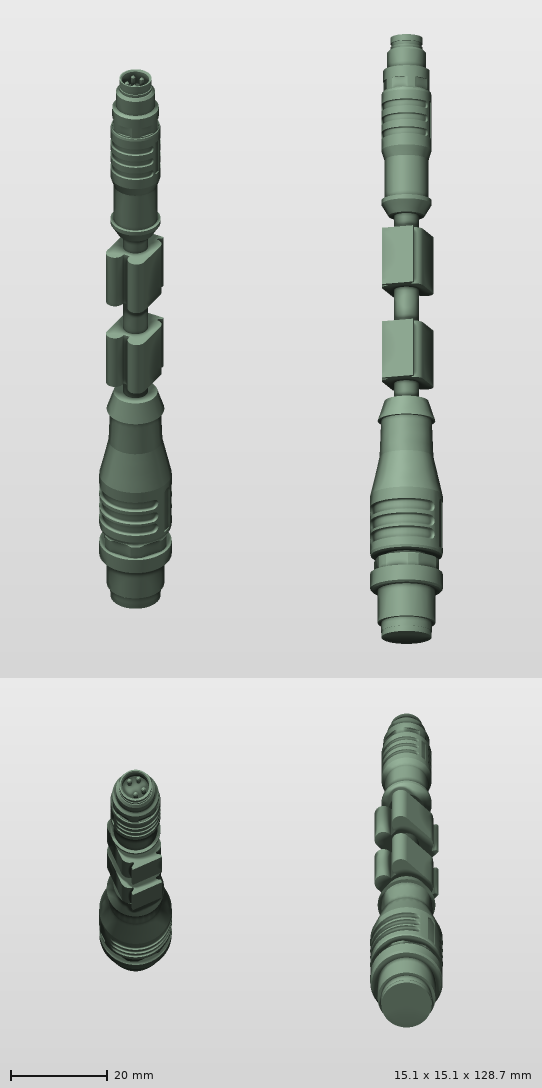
import cadquery as cq
import math

length = 128.7
max_radius = 7.53
cable_radius = 2.6
reach = 2 * max_radius

tip_radius = 3.3
bore_radius = 2.8
bore_mouth_chamfer = 0.3
bore_depth = 3.2
pin_radius = 0.45
pin_height = 2.6
pin_chamfer = 0.3
pin_places = [(-1.3, 1.3), (-1.3, -1.3), (0.6, 1.5), (0.6, -1.5)]
tip_groove_top = 127.4
tip_groove_bottom = 126.6
tip_groove_depth = 0.19
neck_radius = 4.05
neck_top = 126.0
neck_chamfer = 0.5
collar_radius = 4.83
collar_top = 121.6
collar_rise = 0.4
plug_body_radius = 5.21
plug_body_top = 116.9
plug_body_chamfer = 0.1
plug_body_chamfer_height = 0.5
plug_taper_top = 104.5
plug_stem_radius = 4.57
plug_stem_top = 102.5
plug_flange_top = 93.8
plug_flange_bottom = 92.9
plug_end_radius = 3.7
plug_end = 90.5

flat_count = 6
flat_distance = 4.5
flat_bottom = 117.1
flat_height = 2.2

boot_top = 50.7
boot_top_radius = 4.57
boot_lip_radius = 5.98
boot_lip = 46.5
boot_neck_radius = 5.3
flare_top = 38.7
flare_radius = 5.6
flare_bottom = 30.4
boot_bottom = 17.5
boot_edge_chamfer = 0.1
boot_edge_height = 0.5
shank_radius = 4.57
hex_sides = 6
hex_top = 16.6
hex_across_flats = 12.7
hex_corner_radius = 6.8
hex_chamfer = 0.3
nut_ring_top = 13.6
nut_ring_bottom = 10.0
nut_ring_chamfer = 0.4
sleeve_radius = 5.98
sleeve_bottom = 3.1
spigot_radius = 5.3
spigot_step = 1.2
spigot_step_depth = 0.06

clip_bottoms = [54.6, 74.6]
clip_height = 12.1
clip_half_width = 4.44
clip_half_depth = 5.98
clip_round = 1.87
clip_slit_floor = -3.7
plate_half_width = 3.3
plate_edge = 5.4
plate_shoulder = 4.5
waist_edge = 4.9

plug_grip_centers = [113.58, 110.62, 107.6]
plug_grip_height = 1.5
plug_grip_inset = 1.3
plug_recess = (106.8, 114.7, 0.71)
boot_grip_centers = [26.8, 23.7, 20.8]
boot_grip_height = 2.3
boot_grip_inset = 2.77
boot_recess = (18.7, 29.1, 1.0)
plug_grip_depth = 0.4
plug_grip_fillet = 0.3
boot_grip_depth = 0.6
boot_grip_fillet = 0.4
recess_depth = 0.3


def turned(points):
    """Solid of revolution about Z from (radius, height) points; closes along the axis."""
    outline = [(0, points[0][1])] + points + [(0, points[-1][1])]
    return cq.Workplane("XZ").polyline(outline).close().revolve(360, (0, 0), (0, 1))


def cylinder(radius, bottom, top):
    return cq.Workplane("XY").workplane(offset=bottom).circle(radius).extrude(top - bottom)


def make_upper_plug():
    groove_radius = tip_radius - tip_groove_depth
    plug = turned([
        (tip_radius, length),
        (tip_radius, tip_groove_top),
        (groove_radius, tip_groove_top),
        (groove_radius, tip_groove_bottom),
        (tip_radius, tip_groove_bottom),
        (tip_radius, neck_top),
        (neck_radius - neck_chamfer, neck_top),
        (neck_radius, neck_top - neck_chamfer),
        (neck_radius, collar_top + collar_rise),
        (collar_radius, collar_top),
        (collar_radius, plug_body_top),
        (plug_body_radius - plug_body_chamfer, plug_body_top),
        (plug_body_radius, plug_body_top - plug_body_chamfer_height),
        (plug_body_radius, plug_taper_top),
        (plug_stem_radius, plug_stem_top),
        (plug_stem_radius, plug_flange_top),
        (plug_body_radius, plug_flange_top),
        (plug_body_radius, plug_flange_bottom),
        (plug_end_radius, plug_end),
    ])
    bore_floor = length - bore_depth
    plug = plug.cut(turned([
        (bore_radius + bore_mouth_chamfer, length),
        (bore_radius, length - bore_mouth_chamfer),
        (bore_radius, bore_floor),
    ]))
    pins = cq.Workplane("XY").workplane(offset=bore_floor).pushPoints(pin_places)
    pins = pins.circle(pin_radius).extrude(pin_height)
    return plug.union(pins.faces(">Z").chamfer(pin_chamfer))


def cut_collar_flats(plug):
    flat_turn = 360 / flat_count
    for i in range(flat_count):
        cutter = cq.Workplane("XY").box(
            collar_radius, reach, flat_height, centered=(False, True, False)
        ).translate((flat_distance, 0, flat_bottom))
        cutter = cutter.intersect(cylinder(collar_radius, flat_bottom, flat_bottom + flat_height))
        plug = plug.cut(cutter.rotate((0, 0, 0), (0, 0, 1), flat_turn * (i + 0.5)))
    return plug


def make_lower_connector():
    connector = turned([
        (boot_top_radius, boot_top),
        (boot_lip_radius, boot_lip),
        (boot_neck_radius, boot_lip),
        (flare_radius, flare_top),
        (max_radius, flare_bottom),
        (max_radius, boot_bottom + boot_edge_height),
        (max_radius - boot_edge_chamfer, boot_bottom),
        (shank_radius, boot_bottom),
        (shank_radius, nut_ring_top),
        (max_radius, nut_ring_top),
        (max_radius, nut_ring_bottom + nut_ring_chamfer),
        (max_radius - nut_ring_chamfer, nut_ring_bottom),
        (sleeve_radius, nut_ring_bottom),
        (sleeve_radius, sleeve_bottom),
        (spigot_radius, sleeve_bottom),
        (spigot_radius, spigot_step),
        (spigot_radius - spigot_step_depth, spigot_step),
        (spigot_radius - spigot_step_depth, 0),
    ])
    across_corners = hex_across_flats / math.cos(math.pi / hex_sides)
    hexagon = cq.Workplane("XY").workplane(offset=nut_ring_top).polygon(hex_sides, across_corners)
    nut = hexagon.extrude(hex_top - nut_ring_top)
    blank = cylinder(hex_corner_radius, nut_ring_top, hex_top).faces(">Z").chamfer(hex_chamfer)
    return connector.union(nut.intersect(blank))


def shell(radius, depth):
    """Thin full-length tube on both sides of a round surface; it limits how deep a cut goes."""
    return cylinder(radius + depth, 0, length).cut(cylinder(radius - depth, 0, length))


def cut_grip(body, radius, centers, height, inset, depth, floor_fillet, recess, round_top):
    """Cut round-ended grooves that follow the surface, and a flat-floored recess on each X side."""
    grooves = cq.Workplane("YZ").workplane(offset=-reach)
    groove_middle = inset + reach / 2
    places = [(side * groove_middle, z) for z in centers for side in (-1, 1)]
    grooves = grooves.pushPoints(places).slot2D(reach, height).extrude(2 * reach)
    grooves = grooves.intersect(shell(radius, depth))
    floor_edges = grooves.edges(cq.selectors.RadiusNthSelector(0))
    body = body.cut(floor_edges.fillet(floor_fillet))

    bottom, top, half_width = recess
    outline = cq.Workplane("YZ").workplane(offset=radius - recess_depth).moveTo(-half_width, bottom)
    outline = outline.lineTo(half_width, bottom)
    if round_top:
        outline = outline.lineTo(half_width, top - half_width)
        outline = outline.threePointArc((0, top), (-half_width, top - half_width))
    else:
        outline = outline.lineTo(half_width, top).lineTo(-half_width, top)
    slot = outline.close().extrude(reach)
    return body.cut(slot).cut(slot.mirror("YZ"))


def make_clip(bottom):
    """Label clip: two round lobes with a slit at -Y, a waisted label plate at +Y."""
    lobe_x = clip_half_width - clip_round
    slit_half_width = lobe_x - clip_round
    lobe_y = clip_round - clip_half_depth
    shoulder_y = plate_shoulder - clip_round
    diagonal = clip_round * math.sqrt(0.5)
    half = (
        cq.Workplane("XY").workplane(offset=bottom)
        .moveTo(0, clip_slit_floor)
        .lineTo(slit_half_width, clip_slit_floor)
        .lineTo(slit_half_width, lobe_y)
        .threePointArc((lobe_x, -clip_half_depth), (clip_half_width, lobe_y))
        .lineTo(clip_half_width, shoulder_y)
        .threePointArc((lobe_x + diagonal, shoulder_y + diagonal), (lobe_x, plate_shoulder))
        .lineTo(lobe_x, waist_edge)
        .lineTo(plate_half_width, plate_edge)
        .lineTo(plate_half_width, clip_half_depth)
        .lineTo(0, clip_half_depth)
        .close()
        .extrude(clip_height)
    )
    return half.union(half.mirror("YZ"))


upper_plug = cut_collar_flats(make_upper_plug())
upper_plug = cut_grip(
    upper_plug, plug_body_radius, plug_grip_centers, plug_grip_height, plug_grip_inset,
    plug_grip_depth, plug_grip_fillet, plug_recess, round_top=False,
)
lower_connector = cut_grip(
    make_lower_connector(), max_radius, boot_grip_centers, boot_grip_height, boot_grip_inset,
    boot_grip_depth, boot_grip_fillet, boot_recess, round_top=True,
)
result = cylinder(cable_radius, boot_top, plug_end).union(upper_plug).union(lower_connector)
for clip_bottom in clip_bottoms:
    result = result.union(make_clip(clip_bottom))